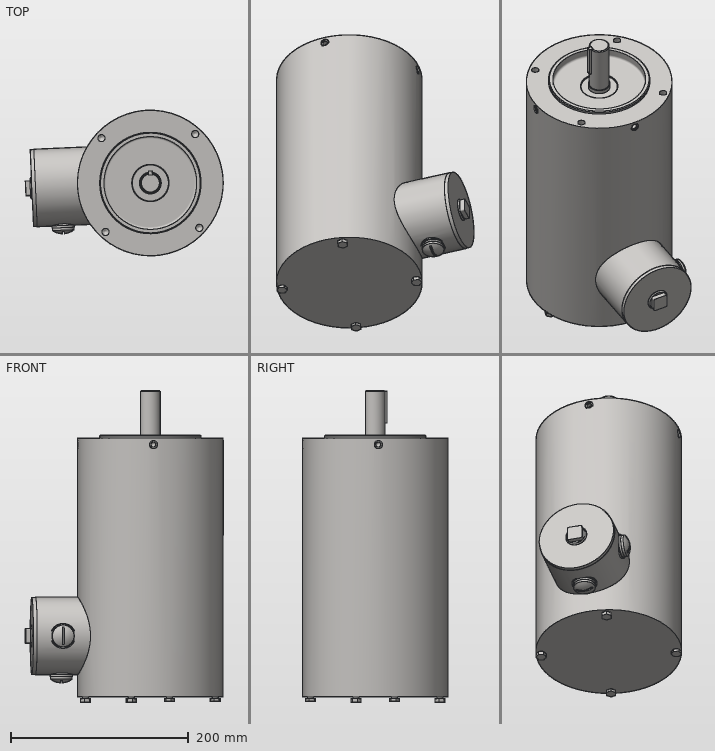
import cadquery as cq
import math

HOUSING_RADIUS = 82.0
HOUSING_HEIGHT = 291.8
HOUSING_TURN = 2.5
QUARTER_ANGLES = (0, 90, 180, 270)

SPIGOT_RADIUS = 57.2
SPIGOT_HEIGHT = 3.5
SPIGOT_CHAMFER = 1.0
RECESS_RADIUS = 52.3
RECESS_DEPTH = 10.2
RECESS_FILLET = 2.5
HUB_RADIUS = 21.0
HUB_DEPTH = 1.0
HUB_FLOOR_CHAMFER = 0.7
MOUNT_HOLE_DIAMETER = 8.0
MOUNT_HOLE_DEPTH = 17.5
DRILL_POINT_ANGLE = 118
MOUNT_CIRCLE_RADIUS = 74.8
MOUNT_HOLE_START_ANGLE = 45

SPIGOT_TOP = HOUSING_HEIGHT + SPIGOT_HEIGHT
RECESS_FLOOR = SPIGOT_TOP - RECESS_DEPTH
HUB_FLOOR = RECESS_FLOOR - HUB_DEPTH

DRAIN_HOLE_Z = HOUSING_HEIGHT - 7.5
DRAIN_BORE_RADIUS = 4.5
DRAIN_BORE_DEPTH = 1.8
DRAIN_HOLE_RADIUS = 2.8
DRAIN_HOLE_DEPTH = 7.0

BOX_Z = 68.8
BOX_RADIUS = 44.0
BOX_FACE = 133.8
LID_RADIUS = 43.5
LID_THICKNESS = 4.2
COLLAR_RADIUS = 12.3
COLLAR_HEIGHT = 1.8
COLLAR_CHAMFER = 1.5
SQUARE_SIDE = 17.0
SQUARE_CORNER_RADIUS = 1.8
SQUARE_END = 140.8

PLUG_OFFSET = 100.5
PLUG_ANGLES = (0, 90)
PLUG_SEAT_RADIUS = 14.0
PLUG_SEAT_TOP = 43.5
PLUG_RADIUS = 12.5
PLUG_STEP_TOP = 46.0
PLUG_CAP_RADIUS = 12.3
PLUG_CAP_TOP = 48.8
PLUG_DOME_TOP = 53.0
PLUG_SLOT_WIDTH = 2.0
PLUG_SLOT_LENGTH = 19.5
PLUG_SLOT_FLOOR = 50.2

SHAFT_RADIUS = 11.2
SHAFT_TOP = 345.0
SHAFT_CHAMFER = 1.0
SHOULDER_RADIUS = 12.3
SHOULDER_HEIGHT = 4.5
KEY_WIDTH = 4.5
KEY_LENGTH = 36.5
KEY_INNER = 9.0
KEY_OUTER = 13.5
KEY_DROP = 0.5

BOLT_CIRCLE_RADIUS = 76.2
BOLT_START_ANGLE = 16.5
BOLT_COUNT = 4
NECK_RADIUS = 3.5
NECK_LENGTH = 1.8
HEAD_CORNER_DIAMETER = 12.0
LOW_HEAD_HEIGHT = 3.0
TALL_HEAD_HEIGHT = 4.2
TALL_HEAD_BOLTS = (1, 2)


def cylinder(radius, bottom, top):
    """Upright cylinder on the Z axis."""
    return cq.Workplane("XY").workplane(offset=bottom).circle(radius).extrude(top - bottom)


def lying_cylinder(radius, start, end):
    """Cylinder on the terminal box axis, between two distances from the motor axis."""
    return (
        cq.Workplane("YZ", origin=(-start, 0, BOX_Z))
        .circle(radius)
        .extrude(start - end)
    )


def make_motor_barrel():
    """Housing cylinder with the spigot ring, the recess inside it and the hub pocket."""
    spigot = cylinder(SPIGOT_RADIUS, HOUSING_HEIGHT, SPIGOT_TOP).faces(">Z").chamfer(SPIGOT_CHAMFER)
    recess = cylinder(RECESS_RADIUS, RECESS_FLOOR, SPIGOT_TOP).faces("<Z").edges().fillet(RECESS_FILLET)
    hub = cylinder(HUB_RADIUS, HUB_FLOOR, RECESS_FLOOR).faces("<Z").edges().chamfer(HUB_FLOOR_CHAMFER)
    return cylinder(HOUSING_RADIUS, 0, HOUSING_HEIGHT).union(spigot).cut(recess).cut(hub)


def make_blind_hole(radius, depth):
    """Drilled hole with a conical point, entering the XY plane from above."""
    point_length = radius / math.tan(math.radians(DRILL_POINT_ANGLE / 2))
    return (
        cq.Workplane("XZ")
        .lineTo(radius, 0)
        .lineTo(radius, -depth)
        .lineTo(0, -depth - point_length)
        .close()
        .revolve(360, (0, 0, 0), (0, 1, 0))
    )


def make_mount_hole(angle):
    """Blind hole in the mounting face at the given angle."""
    return (
        make_blind_hole(MOUNT_HOLE_DIAMETER / 2, MOUNT_HOLE_DEPTH)
        .translate((MOUNT_CIRCLE_RADIUS, 0, HOUSING_HEIGHT))
        .rotate((0, 0, 0), (0, 0, 1), angle)
    )


def make_drain_hole(angle):
    """Counterbored radial hole that enters the housing side at the given angle."""
    bore = cylinder(DRAIN_BORE_RADIUS, -DRAIN_BORE_DEPTH, 0)
    return (
        make_blind_hole(DRAIN_HOLE_RADIUS, DRAIN_HOLE_DEPTH)
        .union(bore)
        .rotate((0, 0, 0), (0, 1, 0), 90)
        .translate((HOUSING_RADIUS, 0, DRAIN_HOLE_Z))
        .rotate((0, 0, 0), (0, 0, 1), angle)
    )


def make_terminal_box():
    """Lying cylinder with a lid, a round collar and a square boss on its end."""
    lid_back = BOX_FACE - LID_THICKNESS
    collar_end = BOX_FACE + COLLAR_HEIGHT
    barrel = lying_cylinder(BOX_RADIUS, 0, lid_back)
    lid = lying_cylinder(LID_RADIUS, lid_back, BOX_FACE)
    collar = lying_cylinder(COLLAR_RADIUS, BOX_FACE, collar_end).faces("<X").chamfer(COLLAR_CHAMFER)
    square = (
        cq.Workplane("YZ", origin=(-BOX_FACE, 0, BOX_Z))
        .rect(SQUARE_SIDE, SQUARE_SIDE)
        .extrude(BOX_FACE - SQUARE_END)
        .edges("|X")
        .fillet(SQUARE_CORNER_RADIUS)
    )
    return barrel.union(lid).union(collar).union(square)


def make_conduit_plug(angle):
    """Domed, slotted plug on the terminal box, at an angle about the box axis."""
    dome_rise = PLUG_DOME_TOP - PLUG_CAP_TOP
    dome_radius = (PLUG_CAP_RADIUS**2 + dome_rise**2) / (2 * dome_rise)
    half_angle = math.asin(PLUG_CAP_RADIUS / dome_radius) / 2
    dome_middle = (
        dome_radius * math.sin(half_angle),
        PLUG_DOME_TOP - dome_radius * (1 - math.cos(half_angle)),
    )
    body = (
        cq.Workplane("XZ")
        .lineTo(PLUG_SEAT_RADIUS, 0)
        .lineTo(PLUG_SEAT_RADIUS, PLUG_SEAT_TOP)
        .lineTo(PLUG_RADIUS, PLUG_SEAT_TOP)
        .lineTo(PLUG_RADIUS, PLUG_STEP_TOP)
        .lineTo(PLUG_CAP_RADIUS, PLUG_STEP_TOP)
        .lineTo(PLUG_CAP_RADIUS, PLUG_CAP_TOP)
        .threePointArc(dome_middle, (0, PLUG_DOME_TOP))
        .close()
        .revolve(360, (0, 0, 0), (0, 1, 0))
    )
    slot = (
        cq.Workplane("XY")
        .workplane(offset=PLUG_SLOT_FLOOR)
        .rect(PLUG_SLOT_WIDTH, PLUG_SLOT_LENGTH)
        .extrude(dome_rise)
    )
    return (
        body.cut(slot)
        .rotate((0, 0, 0), (1, 0, 0), 180 - angle)
        .translate((-PLUG_OFFSET, 0, BOX_Z))
    )


def make_housing():
    """Motor barrel with terminal box, plugs and holes, turned as a whole about the motor axis."""
    housing = make_motor_barrel().union(make_terminal_box())
    for plug_angle in PLUG_ANGLES:
        housing = housing.union(make_conduit_plug(plug_angle))
    for quarter_angle in QUARTER_ANGLES:
        housing = housing.cut(make_drain_hole(quarter_angle))
        housing = housing.cut(make_mount_hole(quarter_angle + MOUNT_HOLE_START_ANGLE))
    return housing.rotate((0, 0, 0), (0, 0, 1), HOUSING_TURN)


def make_key_block(length):
    """Block in the key's place on the +Y side, rising from the key's lower end."""
    return (
        cq.Workplane("XY", origin=(0, (KEY_INNER + KEY_OUTER) / 2, SHAFT_TOP - KEY_LENGTH))
        .rect(KEY_WIDTH, KEY_OUTER - KEY_INNER)
        .extrude(length)
    )


def make_shaft():
    """Shaft standing in the hub pocket, with a shoulder at its foot and a key near its end."""
    shoulder = cylinder(SHOULDER_RADIUS, HUB_FLOOR, HUB_FLOOR + SHOULDER_HEIGHT)
    journal = cylinder(SHAFT_RADIUS, HUB_FLOOR, SHAFT_TOP).faces(">Z").chamfer(SHAFT_CHAMFER)
    keyseat = make_key_block(KEY_LENGTH)
    key = make_key_block(KEY_LENGTH - KEY_DROP)
    return journal.union(shoulder).cut(keyseat).union(key)


def make_bolt(angle, head_height):
    """Hex bolt head on a round neck that meets the underside of the housing."""
    neck = cylinder(NECK_RADIUS, -NECK_LENGTH, 0)
    head = (
        cq.Workplane("XY")
        .workplane(offset=-NECK_LENGTH)
        .polygon(6, HEAD_CORNER_DIAMETER)
        .extrude(-head_height)
    )
    return (
        neck.union(head)
        .translate((BOLT_CIRCLE_RADIUS, 0, 0))
        .rotate((0, 0, 0), (0, 0, 1), angle)
    )


def make_bolts():
    """Bolts evenly spaced under the housing; the second and third have taller heads."""
    bolts = []
    for index in range(BOLT_COUNT):
        angle = BOLT_START_ANGLE + index * 360 / BOLT_COUNT
        head_height = TALL_HEAD_HEIGHT if index in TALL_HEAD_BOLTS else LOW_HEAD_HEIGHT
        bolts.append(make_bolt(angle, head_height))
    return bolts


housing = make_housing()
shaft = make_shaft()
bolts = make_bolts()

result = cq.Compound.makeCompound([housing.val(), shaft.val(), *[bolt.val() for bolt in bolts]])